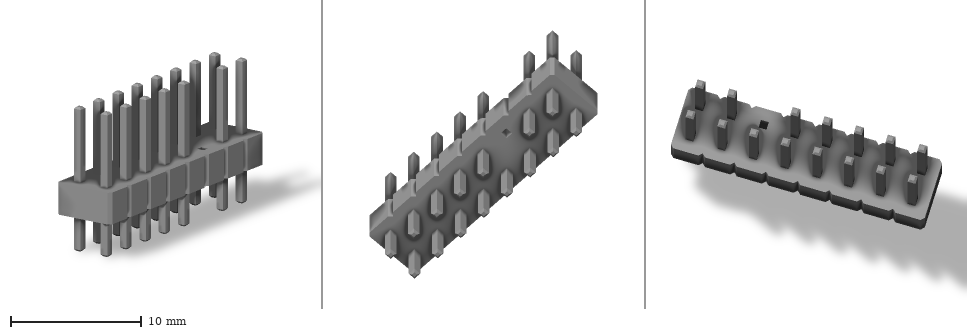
import cadquery as cq

pitch = 2.55
rows = 8
columns = 2
housing_height = 2.55
corner_chamfer = 0.26
pin_width = 0.63
pin_above = 6.0
pin_below = 3.0
tip_chamfer = 0.16
empty_position = (1, 5)

housing_width = columns * pitch
pin_length = pin_below + housing_height + pin_above


def centered_offset(index, count):
    """Coordinate of one position in an evenly spaced line centered on zero."""
    return (index - (count - 1) / 2) * pitch


def pin_center(position):
    column, row = position
    return centered_offset(column, columns), centered_offset(row, rows)


def make_segment(row):
    """One chamfered block of the housing, with its underside at Z = 0."""
    return (
        cq.Workplane("XY", origin=(0, centered_offset(row, rows), 0))
        .rect(housing_width, pitch)
        .extrude(housing_height)
        .edges("|Z")
        .chamfer(corner_chamfer)
    )


def make_housing():
    """Segments joined end to end; their chamfers meet as V notches."""
    housing = make_segment(0)
    for row in range(1, rows):
        housing = housing.union(make_segment(row))
    return housing.clean()


def make_pin(position):
    """Square pin with chamfered tips, passing through the housing."""
    x, y = pin_center(position)
    return (
        cq.Workplane("XY", origin=(x, y, -pin_below))
        .rect(pin_width, pin_width)
        .extrude(pin_length)
        .faces("<Z or >Z")
        .chamfer(tip_chamfer)
    )


def cut_empty_position(body):
    """Square through hole where a pin is left out."""
    x, y = pin_center(empty_position)
    hole = (
        cq.Workplane("XY", origin=(x, y, 0))
        .rect(pin_width, pin_width)
        .extrude(housing_height)
    )
    return body.cut(hole)


result = cut_empty_position(make_housing())
for column in range(columns):
    for row in range(rows):
        if (column, row) != empty_position:
            result = result.union(make_pin((column, row)))